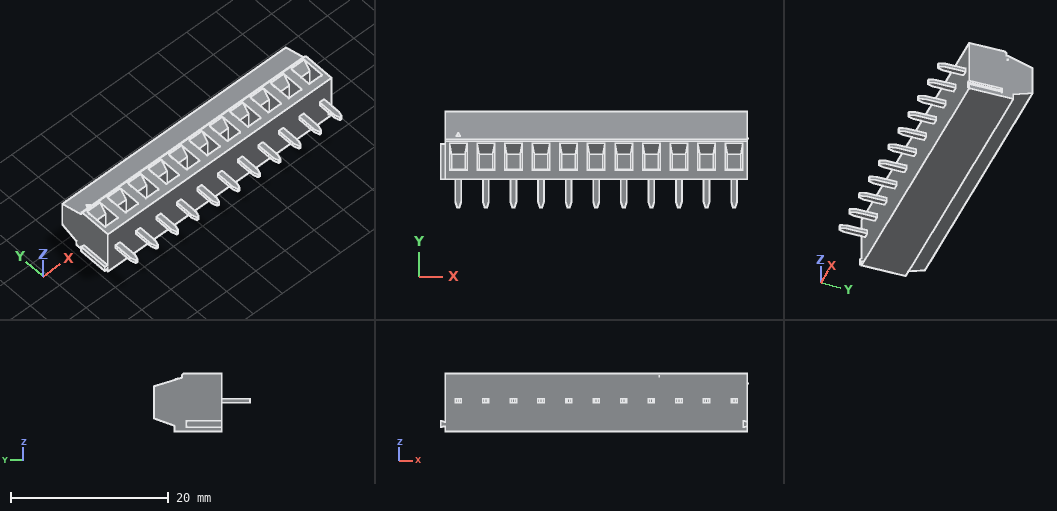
import cadquery as cq

pole_count = 11
pin_row_span = 35.0
pitch = pin_row_span / (pole_count - 1)
total_length = 39.0
rail_depth = 0.55
nub_height = 0.1
body_left = -total_length / 2 + rail_depth
body_right = total_length / 2 - nub_height
body_center = (body_left + body_right) / 2
body_depth = 8.6
body_height = 7.4

top_depth = 5.07
top_step = 0.55
top_edge_chamfer = 0.25
back_top_z = 5.77
back_bottom_z = 1.68
foot_depth = 6.0
foot_height = 0.75

entry_width = 2.22
entry_front_y = 1.17
entry_back_y = 4.55
shaft_width = 1.7
shaft_front_y = 1.3
shaft_back_y = 3.2
funnel_depth = 0.85
entry_depth = 3.9

pin_width = 0.78
pin_thickness = 0.55
pin_z = 3.95
pin_length = 3.6
pin_tip_length = 0.75
pin_tip_width = 0.3

rail_length = 4.5
rail_z = 0.98
rail_tip_height = 0.85
rail_root_height = 0.55

nub_size = 0.08
nub_y = 5.2
nub_z = 6.12
marker_width = 0.55
marker_front_y = 5.45
marker_back_y = 5.93
marker_height = 0.06

first_pole_x = body_center - pin_row_span / 2
pole_positions = [first_pole_x + i * pitch for i in range(pole_count)]


def box(x_range, y_range, z_range):
    """Axis-aligned box spanning the given (low, high) ranges."""
    lows, highs = zip(x_range, y_range, z_range)
    sizes = [high - low for low, high in zip(lows, highs)]
    return cq.Workplane("XY").box(*sizes, centered=False).translate(lows)


def centered_range(center, size):
    return (center - size / 2, center + size / 2)


def make_body():
    profile = [
        (0, 0),
        (foot_depth, 0),
        (foot_depth, foot_height),
        (body_depth, back_bottom_z),
        (body_depth, back_top_z),
        (top_depth, body_height - top_step),
        (top_depth, body_height - top_edge_chamfer),
        (top_depth - top_edge_chamfer, body_height),
        (0, body_height),
    ]
    outline = cq.Workplane("YZ", origin=(body_left, 0, 0)).polyline(profile).close()
    return outline.extrude(body_right - body_left)


def make_entry(x):
    shaft = box(
        centered_range(x, shaft_width),
        (shaft_front_y, shaft_back_y),
        (body_height - entry_depth, body_height),
    )
    entry_y = (entry_front_y + entry_back_y) / 2
    shaft_y = (shaft_front_y + shaft_back_y) / 2
    funnel = (
        cq.Workplane("XY", origin=(x, entry_y, body_height))
        .rect(entry_width, entry_back_y - entry_front_y)
        .workplane(offset=-funnel_depth)
        .center(0, shaft_y - entry_y)
        .rect(shaft_width, shaft_back_y - shaft_front_y)
        .loft(ruled=True)
    )
    return funnel.union(shaft)


def make_pin(x):
    half_width = pin_width / 2
    half_tip = pin_tip_width / 2
    taper_y = -pin_length + pin_tip_length
    outline = [
        (-half_width, 0),
        (-half_width, taper_y),
        (-half_tip, -pin_length),
        (half_tip, -pin_length),
        (half_width, taper_y),
        (half_width, 0),
    ]
    bottom = cq.Workplane("XY", origin=(x, 0, pin_z - pin_thickness / 2))
    return bottom.polyline(outline).close().extrude(pin_thickness)


def make_rail(face_x):
    """Dovetail rail standing out in -X from the plane x = face_x."""
    half_tip = rail_tip_height / 2
    half_root = rail_root_height / 2
    outline = [
        (face_x, rail_z - half_root),
        (face_x - rail_depth, rail_z - half_tip),
        (face_x - rail_depth, rail_z + half_tip),
        (face_x, rail_z + half_root),
    ]
    return cq.Workplane("XZ").polyline(outline).close().extrude(-rail_length)


def make_marker(x):
    """Raised triangle on the sloping top that marks the first pole."""
    slope = (body_height - top_step - back_top_z) / (body_depth - top_depth)

    def slope_z(y):
        return body_height - top_step - slope * (y - top_depth)

    prism = (
        cq.Workplane("XY", origin=(x, 0, back_top_z))
        .polyline([(-marker_width / 2, marker_front_y), (marker_width / 2, marker_front_y), (0, marker_back_y)])
        .close()
        .extrude(slope_z(marker_front_y) + marker_height - back_top_z)
    )
    raised_slab = (
        cq.Workplane("YZ", origin=(x - marker_width, 0, 0))
        .polyline([
            (top_depth, back_top_z),
            (body_depth, back_top_z),
            (body_depth, back_top_z + marker_height),
            (top_depth, slope_z(top_depth) + marker_height),
        ])
        .close()
        .extrude(2 * marker_width)
    )
    return prism.intersect(raised_slab)


def make_nub():
    return box(
        (body_right - nub_height, body_right + nub_height),
        centered_range(nub_y, nub_size),
        centered_range(nub_z, nub_size),
    )


result = make_body().cut(make_rail(body_right))
for pole_x in pole_positions:
    result = result.cut(make_entry(pole_x)).union(make_pin(pole_x))
result = result.union(make_rail(body_left)).union(make_nub()).union(make_marker(first_pole_x))